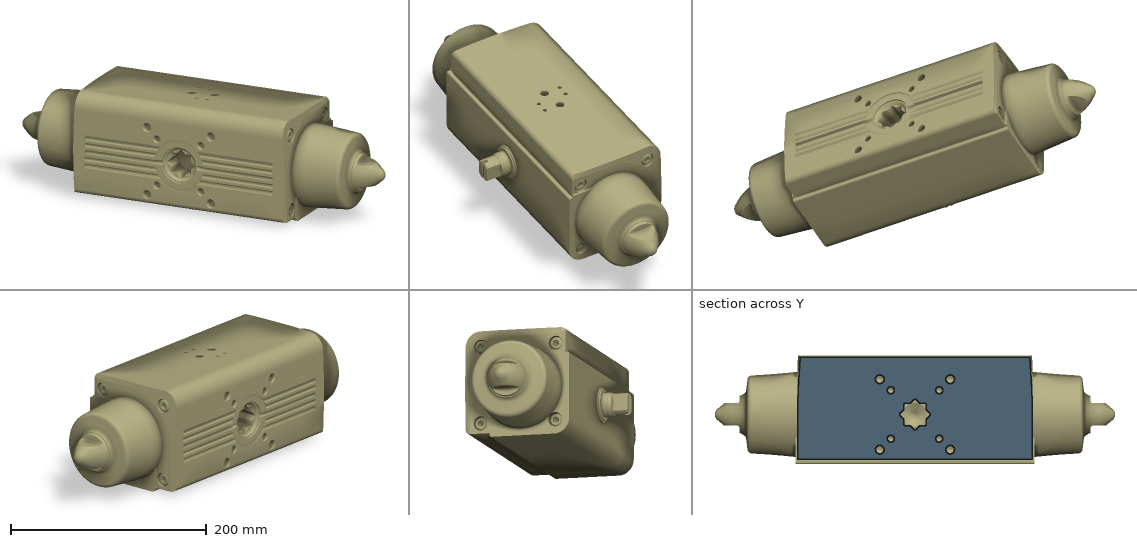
import cadquery as cq
import math


OVERALL_LENGTH = 409.6
OVERALL_DEPTH = 141.26

WIDE_SIDE = 60.5
NARROW_SIDE = 50.6
STEP_SIDE = 46.3
STEP_WALL = 34.0
STEP_ROUND = 1.8
LARGE_CORNER_R = 16.0
SMALL_CORNER_R = 5.2
BODY_HALF_LENGTH = 106.4

RIM_X = 117.4
LAND_X = 120.0
PAD_X = 122.0
LAND_SIDE = 54.5
LAND_CORNER_R = 54.0
LAND_EDGE_DRIFT = 0.9
RIM_EDGE_DRIFT = -21.0
LAND_REACH = 52.0
RIM_SLOPE_WIDTH = 25.0
PAD_SIDE = 36.6
PAD_CORNER_CUT = 17.0
CUP_BASE_R = 43.5
CUP_END_R = 39.9
CUP_END_X = 171.4
CUP_ROUND = 4.5
CUP_FACE_X = 172.6
HUB_FOOT_R = 25.4
HUB_R = 20.8
HUB_ROUND_END_X = 176.2
HUB_TOP_R = 20.0
TIP_X = OVERALL_LENGTH / 2
TIP_EDGE_X = 201.5
TIP_EDGE_R = 6.2
TIP_DOME_HEIGHT = TIP_X - TIP_EDGE_X
TIP_BALL_R = (TIP_EDGE_R**2 + TIP_DOME_HEIGHT**2) / (2 * TIP_DOME_HEIGHT)
NOSE_MIDDLE = (190.5, 14.4)
FLAT_HALF = 11.5
FLAT_END_X = 179.6
FLAT_FILLET_R = 2.6

SCREW_OFFSET_NEAR = 35.7
SCREW_OFFSET_FAR = 44.1
SCREW_POCKET_D = 14.8
SCREW_POCKET_DEPTH = 6.5
SCREW_HEAD_D = 13.0
SCREW_HEAD_HEIGHT = 5.0
SCREW_HEAD_CHAMFER = 1.2
SCREW_SOCKET_FLATS = 6.0
SCREW_SOCKET_DEPTH = 3.0

WASHER_D = 36.0
WASHER_TOP_Y = 52.4
RING_D = 33.0
RING_TOP_Y = 53.9
COLLAR_D = 25.0
COLLAR_TOP_Y = 62.3
COLLAR_CHAMFER_HEIGHT = 1.4
COLLAR_NECK_D = 23.8
NECK_TOP_Y = 64.4
SHAFT_D = 22.5
SHAFT_TOP_Y = OVERALL_DEPTH - WIDE_SIDE
SHAFT_FLATS = 16.0
SHAFT_CHAMFER = 1.2
SLOT_WIDTH = 3.8
SLOT_DEPTH = 5.2

RECESS_D = 55.0
RECESS_DEPTH = 1.0
BORE_MOUTH_D = 41.0
BORE_D = 38.4
BORE_DEPTH = 3.0
SHAFT_MOUTH_D = 36.0
STAR_FLATS = 22.5
STAR_TIP_D = 30.8
STAR_DEPTH = 26.0
STAR_DRILL_D = 23.8
DRILL_TIP_ANGLE = 118.0
OUTER_HOLE_OFFSET = 36.0
OUTER_HOLE_D = 8.38
OUTER_HOLE_MOUTH_D = 10.0
INNER_HOLE_OFFSET = 24.75
INNER_HOLE_D = 6.65
INNER_HOLE_MOUTH_D = 8.57
MOUNT_HOLE_DEPTH = 16.0
GROOVE_DEPTH = 1.0
SIDE_GROOVES = ((5.2, 9.8, 6.9, 8.1), (12.6, 17.7, 13.8, 15.2))
CENTRE_GROOVE_HALF = 2.2
CENTRE_GROOVE_DEPTH = 3.0

PORT_HALF_SPACING = 12.0
PATTERN_Y = -2.0
PORT_SHIFT = 2.0
PIN_HOLE_SHIFT = 16.0
PORT_D = 8.57
PORT_MOUTH_D = 9.8
PORT_DEPTH = 10.0
PIN_HOLE_D = 4.13
PIN_HOLE_MOUTH_D = 4.92
PIN_HOLE_DEPTH = 8.0


def round_corner(sketch, centre, radius, start_angle, end_angle):
    """Draw a line to the start of a corner arc, then the arc itself."""
    def on_arc(angle):
        turn = math.radians(angle)
        return (centre[0] + radius * math.cos(turn), centre[1] + radius * math.sin(turn))

    middle_angle = (start_angle + end_angle) / 2
    return sketch.lineTo(*on_arc(start_angle)).threePointArc(on_arc(middle_angle), on_arc(end_angle))


def body_bar(x_start, x_end):
    """Bar with the body section, running from x_start to x_end."""
    large = LARGE_CORNER_R
    small = SMALL_CORNER_R
    near = STEP_SIDE - small
    far = WIDE_SIDE - small
    sketch = cq.Workplane("YZ", origin=(x_start, 0, 0)).moveTo(NARROW_SIDE, 0)
    step_centre = NARROW_SIDE - STEP_ROUND
    step_start = STEP_WALL - STEP_ROUND
    sketch = round_corner(sketch, (step_centre, step_start), STEP_ROUND, 0, 90)
    sketch = sketch.lineTo(STEP_SIDE, STEP_WALL)
    sketch = round_corner(sketch, (near, far), small, 0, 90)
    sketch = round_corner(sketch, (large - WIDE_SIDE, WIDE_SIDE - large), large, 90, 180)
    sketch = round_corner(sketch, (-far, -near), small, 180, 270)
    sketch = sketch.lineTo(-STEP_WALL, -STEP_SIDE)
    sketch = round_corner(sketch, (-step_start, -step_centre), STEP_ROUND, 180, 270)
    sketch = round_corner(sketch, (NARROW_SIDE - large, large - NARROW_SIDE), large, 270, 360)
    return sketch.close().extrude(x_end - x_start)


def tapered_plug(top_diameter, bottom_diameter, height):
    """Cone or frustum standing below the XY plane."""
    down = cq.Vector(0, 0, -1)
    return cq.Workplane(
        obj=cq.Solid.makeCone(top_diameter / 2, bottom_diameter / 2, height, dir=down)
    )


def drill_point(diameter):
    """Drill-point cone below the XY plane."""
    height = diameter / 2 / math.tan(math.radians(DRILL_TIP_ANGLE / 2))
    return tapered_plug(diameter, 0, height)


def drill(diameter, mouth_diameter, depth, pointed):
    """Hole cutter running down from the origin, with a 45-degree mouth if that is wider."""
    cutter = cq.Workplane("XY").circle(diameter / 2).extrude(-depth)
    chamfer = (mouth_diameter - diameter) / 2
    if chamfer > 0:
        cutter = cutter.union(tapered_plug(mouth_diameter, diameter, chamfer))
    if pointed:
        cutter = cutter.union(drill_point(diameter).translate((0, 0, -depth)))
    return cutter


def land_outline(workplane, grow, drift):
    """Rounded land outline, grown outwards; its straight edges drift away from the axes."""
    side = LAND_SIDE + grow
    radius = LAND_CORNER_R + grow
    sketch = workplane.moveTo(LAND_REACH, side + drift)
    sketch = round_corner(sketch, (radius - side, side - radius), radius, 90, 180)
    sketch = sketch.lineTo(-side - drift, -LAND_REACH)
    return sketch.lineTo(LAND_REACH, -LAND_REACH).close()


def cap_plate():
    """Cap plate with a rim that slopes up to a flat land, and the raised pad."""
    plate = body_bar(BODY_HALF_LENGTH, RIM_X)
    rim_plane = cq.Workplane("YZ", origin=(RIM_X, 0, 0))
    lower = land_outline(rim_plane, RIM_SLOPE_WIDTH, RIM_EDGE_DRIFT)
    upper = lower.workplane(offset=LAND_X - RIM_X)
    slope = land_outline(upper, 0, LAND_EDGE_DRIFT).loft(ruled=True)
    plate = plate.union(body_bar(RIM_X, PAD_X).intersect(slope))
    pad = (
        rim_plane.moveTo(PAD_CORNER_CUT - PAD_SIDE, PAD_SIDE)
        .lineTo(WIDE_SIDE, PAD_SIDE)
        .lineTo(WIDE_SIDE, -WIDE_SIDE)
        .lineTo(-PAD_SIDE, -WIDE_SIDE)
        .lineTo(-PAD_SIDE, PAD_SIDE - PAD_CORNER_CUT)
        .close()
        .extrude(PAD_X - RIM_X)
    )
    return plate.union(body_bar(RIM_X, PAD_X).intersect(pad))


def cup_and_nose():
    """Tapered spring cup with its stop-screw nose, turned about the X axis."""
    round_inset = CUP_ROUND * (1 - math.sqrt(0.5))
    profile = (
        cq.Workplane("XY")
        .moveTo(BODY_HALF_LENGTH, 0)
        .lineTo(BODY_HALF_LENGTH, CUP_BASE_R)
        .lineTo(PAD_X, CUP_BASE_R)
        .lineTo(CUP_END_X - CUP_ROUND, CUP_END_R)
        .threePointArc(
            (CUP_END_X - round_inset, CUP_END_R - round_inset),
            (CUP_END_X, CUP_END_R - CUP_ROUND),
        )
        .lineTo(CUP_FACE_X, HUB_FOOT_R)
        .radiusArc((HUB_ROUND_END_X, HUB_R), HUB_R - HUB_FOOT_R)
        .lineTo(HUB_ROUND_END_X, HUB_TOP_R)
        .threePointArc(NOSE_MIDDLE, (TIP_EDGE_X, TIP_EDGE_R))
        .radiusArc((TIP_X, 0), TIP_BALL_R)
        .close()
    )
    turned = profile.revolve(360, (0, 0, 0), (1, 0, 0))
    flat_length = TIP_X - FLAT_END_X
    for side in (1, -1):
        cutter = (
            cq.Workplane("XY")
            .box(2 * flat_length, 2 * HUB_FOOT_R, HUB_FOOT_R, centered=(False, True, False))
            .edges("<X and <Z")
            .fillet(FLAT_FILLET_R)
            .translate((FLAT_END_X, 0, FLAT_HALF))
        )
        if side < 0:
            cutter = cutter.mirror("XY")
        turned = turned.cut(cutter)
    return turned


def add_screws(cap):
    """Sink four socket-head screws into the cap plate."""
    near = SCREW_OFFSET_NEAR
    far = SCREW_OFFSET_FAR
    spots = ((near, far), (-far, far), (-far, -near), (near, -near))
    for spot in spots:
        seat_x = LAND_X - SCREW_POCKET_DEPTH
        seat = cq.Workplane("YZ", origin=(seat_x, 0, 0)).center(*spot)
        pocket = seat.circle(SCREW_POCKET_D / 2).extrude(2 * SCREW_POCKET_DEPTH)
        head = (
            seat.circle(SCREW_HEAD_D / 2)
            .extrude(SCREW_HEAD_HEIGHT)
            .faces(">X")
            .chamfer(SCREW_HEAD_CHAMFER)
            .faces(">X")
            .workplane()
            .polygon(6, SCREW_SOCKET_FLATS, circumscribed=True)
            .cutBlind(-SCREW_SOCKET_DEPTH)
        )
        socket_floor_x = seat_x + SCREW_HEAD_HEIGHT - SCREW_SOCKET_DEPTH
        point = drill_point(SCREW_SOCKET_FLATS).rotate((0, 0, 0), (0, 1, 0), 90)
        head = head.cut(point.translate((socket_floor_x, *spot)))
        cap = cap.cut(pocket).union(head)
    return cap


def end_cap():
    """Complete cap for the +X end."""
    return add_screws(cap_plate().union(cup_and_nose()))


def y_cylinder(diameter, y_start, y_end):
    """Cylinder about the shaft axis, from y_start up to y_end."""
    return (
        cq.Workplane("XZ", origin=(0, y_end, 0)).circle(diameter / 2).extrude(y_end - y_start)
    )


def shaft_top():
    """Washer, collar and slotted two-flat shaft end standing on the back face."""
    top = y_cylinder(SHAFT_D, 0, SHAFT_TOP_Y).faces(">Y").chamfer(SHAFT_CHAMFER)
    top = top.intersect(cq.Workplane("XY").box(SHAFT_FLATS, 4 * SHAFT_TOP_Y, 2 * SHAFT_D))
    slot = cq.Workplane("XY").box(SLOT_WIDTH, 2 * SLOT_DEPTH, 2 * SHAFT_D)
    top = top.cut(slot.translate((0, SHAFT_TOP_Y, 0)))
    for diameter, y_end in (
        (WASHER_D, WASHER_TOP_Y),
        (RING_D, RING_TOP_Y),
        (COLLAR_NECK_D, NECK_TOP_Y),
    ):
        top = top.union(y_cylinder(diameter, 0, y_end))
    collar = y_cylinder(COLLAR_D, 0, COLLAR_TOP_Y)
    neck_step = (COLLAR_D - COLLAR_NECK_D) / 2
    return top.union(collar.faces(">Y").chamfer(COLLAR_CHAMFER_HEIGHT, neck_step))


def side_groove(edges):
    """Trapezoidal groove cutter along the body, on the front face."""
    low, high, floor_low, floor_high = edges
    floor_y = GROOVE_DEPTH - WIDE_SIDE
    outline = ((-WIDE_SIDE, low), (-WIDE_SIDE, high), (floor_y, floor_high), (floor_y, floor_low))
    return (
        cq.Workplane("YZ", origin=(-BODY_HALF_LENGTH, 0, 0))
        .polyline(outline)
        .close()
        .extrude(2 * BODY_HALF_LENGTH)
    )


def cut_grooves(body):
    """Side grooves stop at the centring recess; the round-bottomed middle one runs through."""
    recess_zone = y_cylinder(RECESS_D, -WIDE_SIDE, 0)
    for edges in SIDE_GROOVES:
        groove = side_groove(edges).cut(recess_zone)
        body = body.cut(groove).cut(groove.mirror("XY"))
    middle = (
        cq.Workplane("YZ", origin=(-BODY_HALF_LENGTH, 0, 0))
        .moveTo(-WIDE_SIDE, CENTRE_GROOVE_HALF)
        .threePointArc((CENTRE_GROOVE_DEPTH - WIDE_SIDE, 0), (-WIDE_SIDE, -CENTRE_GROOVE_HALF))
        .close()
        .extrude(2 * BODY_HALF_LENGTH)
    )
    return body.cut(middle)


def cut_shaft_socket(body):
    """Centring recess, stepped bore and eight-point star socket on the front face."""
    body = body.cut(y_cylinder(RECESS_D, -WIDE_SIDE, RECESS_DEPTH - WIDE_SIDE))
    star_box = cq.Workplane("XY").box(STAR_FLATS, STAR_FLATS, STAR_DEPTH, centered=(True, True, False))
    star = star_box.union(star_box.rotate((0, 0, 0), (0, 0, 1), 45))
    star = star.intersect(cq.Workplane("XY").circle(STAR_TIP_D / 2).extrude(STAR_DEPTH))
    star = star.translate((0, 0, -STAR_DEPTH))
    star = star.union(drill(STAR_DRILL_D, STAR_DRILL_D, STAR_DEPTH, True))
    mouth_height = (SHAFT_MOUTH_D - STAR_TIP_D) / 2
    shaft_mouth = tapered_plug(SHAFT_MOUTH_D, STAR_TIP_D, mouth_height)
    socket = star.union(shaft_mouth.translate((0, 0, -BORE_DEPTH)))
    socket = socket.union(drill(BORE_D, BORE_MOUTH_D, BORE_DEPTH, False))
    return body.cut(socket.rotate((0, 0, 0), (1, 0, 0), 90).translate((0, -WIDE_SIDE, 0)))


def cut_mounting_holes(body):
    """Two square patterns of threaded holes on the front face."""
    patterns = (
        (OUTER_HOLE_OFFSET, drill(OUTER_HOLE_D, OUTER_HOLE_MOUTH_D, MOUNT_HOLE_DEPTH, True)),
        (INNER_HOLE_OFFSET, drill(INNER_HOLE_D, INNER_HOLE_MOUTH_D, MOUNT_HOLE_DEPTH, True)),
    )
    for offset, cutter in patterns:
        facing_front = cutter.rotate((0, 0, 0), (1, 0, 0), 90)
        for x in (-offset, offset):
            for z in (-offset, offset):
                body = body.cut(facing_front.translate((x, -WIDE_SIDE, z)))
    return body


def cut_accessory_holes(body):
    """Two air ports and four threaded holes on the top face."""
    port = drill(PORT_D, PORT_MOUTH_D, PORT_DEPTH, False)
    pin_hole = drill(PIN_HOLE_D, PIN_HOLE_MOUTH_D, PIN_HOLE_DEPTH, True)
    for side in (-1, 1):
        x = side * PORT_HALF_SPACING
        body = body.cut(port.translate((x, PATTERN_Y + side * PORT_SHIFT, WIDE_SIDE)))
        pin_y = PATTERN_Y - side * PIN_HOLE_SHIFT
        for pin_x in (0, x):
            body = body.cut(pin_hole.translate((pin_x, pin_y, WIDE_SIDE)))
    return body


body = body_bar(-BODY_HALF_LENGTH, BODY_HALF_LENGTH)
body = cut_grooves(body)
body = body.union(shaft_top())
body = cut_shaft_socket(body)
body = cut_mounting_holes(body)
body = cut_accessory_holes(body)

cap = end_cap()
result = body.union(cap, clean=False).union(cap.mirror("YZ"), clean=False)